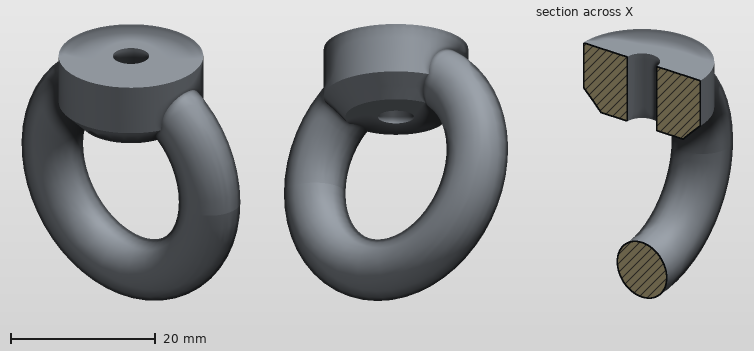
import cadquery as cq

ring_outer_diameter = 37.0
bar_diameter = 8.5
collar_diameter = 20.0
collar_height = 10.0
collar_chamfer = 3.0
collar_top = 18.0
hole_diameter = 5.0

bar_radius = bar_diameter / 2
ring_centre_radius = ring_outer_diameter / 2 - bar_radius
collar_bottom = collar_top - collar_height


def make_ring():
    """Torus about the Y axis, cut flat level with the collar top."""
    ring = (
        cq.Workplane("XY")
        .center(ring_centre_radius, 0)
        .circle(bar_radius)
        .revolve(360, (-ring_centre_radius, 0), (-ring_centre_radius, 1))
    )
    above_collar = (
        cq.Workplane("XY")
        .workplane(offset=collar_top)
        .rect(ring_outer_diameter, ring_outer_diameter)
        .extrude(ring_outer_diameter)
    )
    return ring.cut(above_collar)


def make_collar():
    """Cylinder with a chamfered lower edge."""
    return (
        cq.Workplane("XY")
        .workplane(offset=collar_bottom)
        .circle(collar_diameter / 2)
        .extrude(collar_height)
        .faces("<Z")
        .chamfer(collar_chamfer)
    )


def make_hole():
    """Vertical bore through the collar, opening into the eye of the ring."""
    return (
        cq.Workplane("XY")
        .circle(hole_diameter / 2)
        .extrude(collar_top)
    )


result = make_ring().union(make_collar()).cut(make_hole())